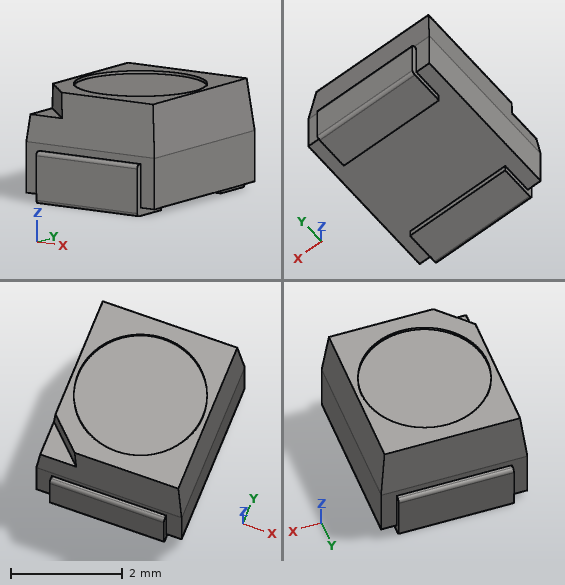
import cadquery as cq

total_length = 3.43
total_height = 2.05

body_width = 2.8
body_length = 3.197
body_bottom = 0.15
taper_start = 1.095
taper_inset = 0.103

recess_diameter = 2.4
recess_depth = 0.05

mark_floor = 1.588
mark_leg = 0.803

lead_width = 2.202
lead_height = 0.955
lead_foot = 0.765
lead_radius = 0.07


def make_body():
    """Straight-sided base with a tapered upper half."""
    base = cq.Workplane("XY").workplane(offset=body_bottom).rect(body_width, body_length)
    base = base.extrude(taper_start - body_bottom)
    upper = (
        cq.Workplane("XY").workplane(offset=taper_start)
        .rect(body_width, body_length)
        .workplane(offset=total_height - taper_start)
        .rect(body_width - 2 * taper_inset, body_length - 2 * taper_inset)
        .loft(ruled=True)
    )
    return base.union(upper)


def make_recess():
    """Shallow round pocket tool."""
    floor = cq.Workplane("XY").workplane(offset=total_height - recess_depth)
    return floor.circle(recess_diameter / 2).extrude(recess_depth)


def make_corner_mark():
    """Triangular tool that removes the upper part of one corner."""
    corner_x = -body_width / 2
    corner_y = -body_length / 2
    return (
        cq.Workplane("XY").workplane(offset=mark_floor)
        .moveTo(corner_x, corner_y)
        .lineTo(corner_x + mark_leg, corner_y)
        .lineTo(corner_x, corner_y + mark_leg)
        .close()
        .extrude(total_height - mark_floor)
    )


def make_lead():
    """L-shaped lead at the -Y end, with rounded outer edges."""
    outer_y = -total_length / 2
    inner_y = -body_length / 2
    lead = (
        cq.Workplane("YZ")
        .moveTo(outer_y, 0)
        .lineTo(outer_y + lead_foot, 0)
        .lineTo(outer_y + lead_foot, body_bottom)
        .lineTo(inner_y, body_bottom)
        .lineTo(inner_y, lead_height)
        .lineTo(outer_y, lead_height)
        .close()
        .extrude(lead_width / 2, both=True)
    )
    return lead.faces("<Y").edges("|X").fillet(lead_radius)


body = make_body().cut(make_recess()).cut(make_corner_mark())
front_lead = make_lead()
back_lead = front_lead.mirror("XZ")
result = body.union(front_lead).union(back_lead)